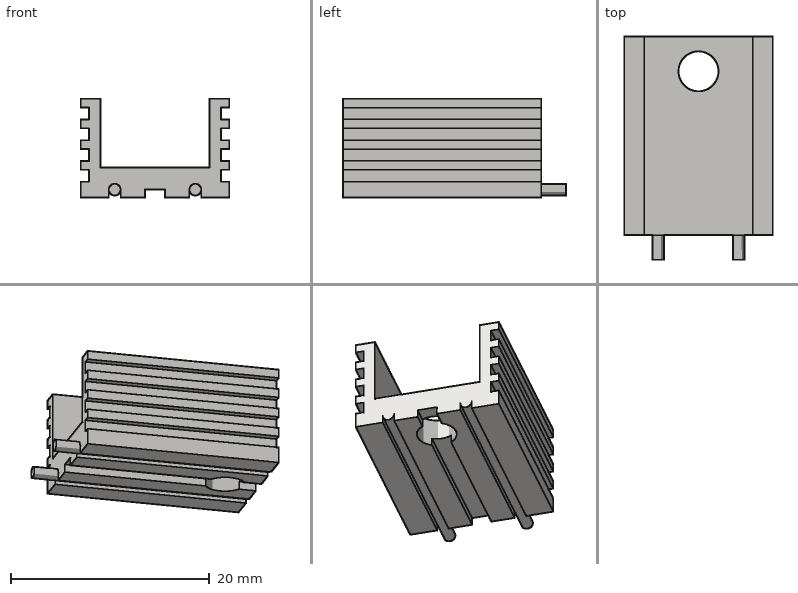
import cadquery as cq

width = 15.0
height = 10.0
total_length = 22.5
pin_projection = 2.5
body_length = total_length - pin_projection

wall_thickness = 2.02
floor_height = 3.05

groove_count = 4
groove_depth = 0.83
groove_height = 1.2
fin_thickness = 0.9
fin_pitch = groove_height + fin_thickness

slot_width = 2.0
slot_depth = 0.8

pin_diameter = 1.2
pin_spacing = 8.12
pin_height = 0.8

hole_diameter = 4.0
hole_from_back = 3.5


def bar(bar_width, bar_height, x_center, z_bottom):
    """Rectangular bar running the full body length, from y = 0 towards +Y."""
    return (
        cq.Workplane("XY")
        .box(bar_width, body_length, bar_height, centered=(True, False, False))
        .translate((x_center, 0, z_bottom))
    )


def pin(x_center):
    """Round pin running through the body and projecting from its -Y end."""
    return (
        cq.Workplane("XZ", origin=(x_center, body_length, pin_height))
        .circle(pin_diameter / 2)
        .extrude(total_length)
    )


channel_width = width - 2 * wall_thickness
body = bar(width, height, 0, 0)
body = body.cut(bar(channel_width, height - floor_height, 0, floor_height))

groove_x = (width - groove_depth) / 2
for index in range(groove_count):
    groove_bottom = height - (index + 1) * fin_pitch
    for side in (-1, 1):
        body = body.cut(bar(groove_depth, groove_height, side * groove_x, groove_bottom))

body = body.cut(bar(slot_width, slot_depth, 0, 0))

for side in (-1, 1):
    pin_x = side * pin_spacing / 2
    body = body.cut(bar(pin_diameter, pin_height, pin_x, 0))
    body = body.union(pin(pin_x))

hole = (
    cq.Workplane("XY")
    .center(0, body_length - hole_from_back)
    .circle(hole_diameter / 2)
    .extrude(floor_height)
)
result = body.cut(hole)